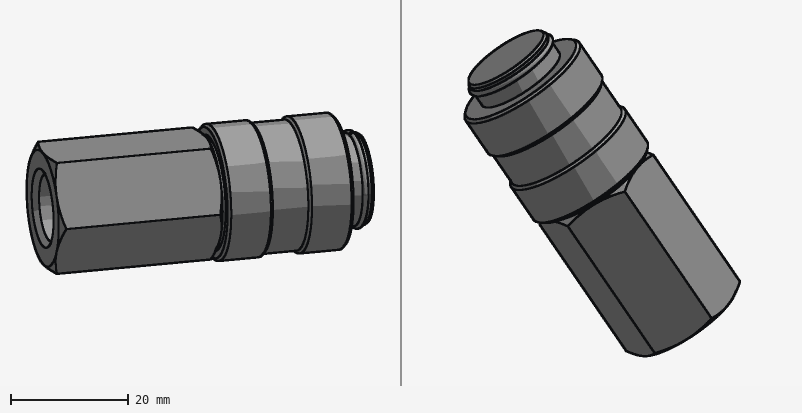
import cadquery as cq
import math

LENGTH = 56.5
HEX_END = 29.05
SLEEVE_START = 29.55
SLEEVE_END = 51.85

ACROSS_FLATS = 20.0
HEX_CHAMFER_ANGLE = 30.0
NECK_RADIUS = ACROSS_FLATS / 2
CORNER_RADIUS = NECK_RADIUS / math.cos(math.radians(30))
HEX_CHAMFER = (CORNER_RADIUS - NECK_RADIUS) * math.tan(math.radians(HEX_CHAMFER_ANGLE))

SLEEVE_RADIUS = 11.75
BAND_LENGTH = 8.0
SLEEVE_CHAMFER = 0.5
WAIST_RADIUS = SLEEVE_RADIUS - SLEEVE_CHAMFER

PLUG_RADIUS = 7.95
PLUG_CHAMFER_LENGTH = 0.5
PLUG_CHAMFER_DEPTH = 0.35

WIRE_RADIUS = 0.5
RING_FROM_END = 1.6
RING_Y = LENGTH - RING_FROM_END
RING_GAP = 0.45

BORE_RADIUS = 5.75
BORE_MOUTH_RADIUS = 6.8
BORE_CHAMFER = BORE_MOUTH_RADIUS - BORE_RADIUS
BORE_DEPTH = 14.0


def revolve_profile(points):
    """Revolve a closed (radius, y) outline about the Y axis."""
    return cq.Workplane("XY").polyline(points).close().revolve(360, (0, 0, 0), (0, 1, 0))


def wire_torus():
    """Full circle of round wire around the plug."""
    section = cq.Workplane("XY").center(PLUG_RADIUS, RING_Y).circle(WIRE_RADIUS)
    return section.revolve(360, (-PLUG_RADIUS, 0, 0), (-PLUG_RADIUS, 1, 0))


def make_hex_grip():
    """Hexagon with flats on top and bottom, and turned corners at both ends."""
    prism = cq.Workplane("XZ").polygon(6, 2 * CORNER_RADIUS).extrude(-HEX_END)
    turned_envelope = revolve_profile([
        (0, 0),
        (NECK_RADIUS, 0),
        (CORNER_RADIUS, HEX_CHAMFER),
        (CORNER_RADIUS, HEX_END - HEX_CHAMFER),
        (NECK_RADIUS, HEX_END),
        (0, HEX_END),
    ])
    return prism.intersect(turned_envelope)


def make_turned_end():
    """Neck, two-band sleeve and plug as one turned shape."""
    waist_start = SLEEVE_START + BAND_LENGTH
    waist_end = SLEEVE_END - BAND_LENGTH
    return revolve_profile([
        (0, HEX_END),
        (NECK_RADIUS, HEX_END),
        (NECK_RADIUS, SLEEVE_START),
        (WAIST_RADIUS, SLEEVE_START),
        (SLEEVE_RADIUS, SLEEVE_START + SLEEVE_CHAMFER),
        (SLEEVE_RADIUS, waist_start - SLEEVE_CHAMFER),
        (WAIST_RADIUS, waist_start),
        (WAIST_RADIUS, waist_end),
        (SLEEVE_RADIUS, waist_end + SLEEVE_CHAMFER),
        (SLEEVE_RADIUS, SLEEVE_END - SLEEVE_CHAMFER),
        (WAIST_RADIUS, SLEEVE_END),
        (PLUG_RADIUS, SLEEVE_END),
        (PLUG_RADIUS, LENGTH - PLUG_CHAMFER_LENGTH),
        (PLUG_RADIUS - PLUG_CHAMFER_DEPTH, LENGTH),
        (0, LENGTH),
    ])


def make_bore():
    """Blind bore with a countersunk mouth."""
    return revolve_profile([
        (0, 0),
        (BORE_MOUTH_RADIUS, 0),
        (BORE_RADIUS, BORE_CHAMFER),
        (BORE_RADIUS, BORE_DEPTH),
        (0, BORE_DEPTH),
    ])


def make_coupling():
    """Coupling body with its bore and the round groove for the ring."""
    body = make_hex_grip().union(make_turned_end())
    return body.cut(make_bore()).cut(wire_torus())


def make_snap_ring():
    """Wire ring split by a parallel gap at the top."""
    gap_height = PLUG_RADIUS + 2 * WIRE_RADIUS
    gap = (
        cq.Workplane("XY")
        .box(RING_GAP, 4 * WIRE_RADIUS, gap_height, centered=(True, True, False))
        .translate((0, RING_Y, 0))
    )
    return wire_torus().cut(gap)


coupling = make_coupling()
snap_ring = make_snap_ring()

result = cq.Compound.makeCompound([coupling.val(), snap_ring.val()])